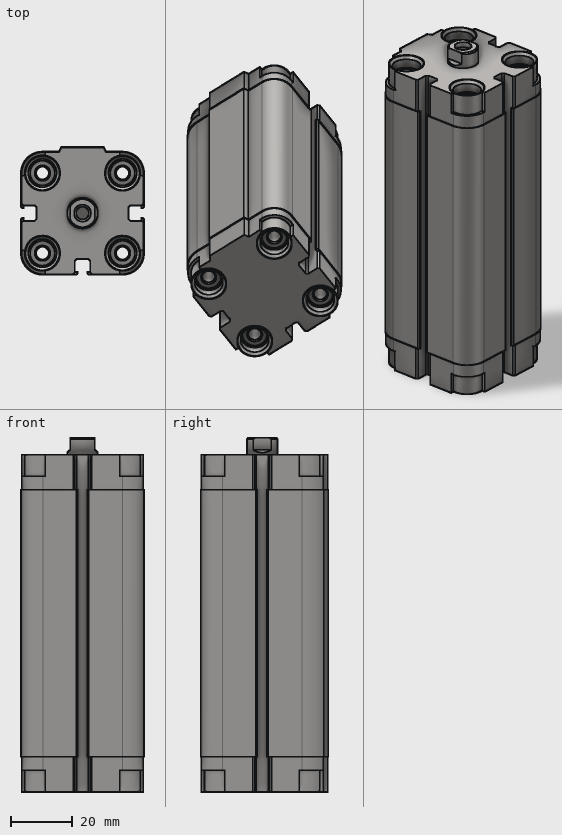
import cadquery as cq
overall_height = 115.0
body_width = 40.0
rod_stand_out = 5.5
housing_height = overall_height - rod_stand_out
half_width = body_width / 2

cap_height = 11.4
cap_inset = 0.2
cap_half_width = half_width - cap_inset
corner_radius = 7.1

rail_base_width = 15.3
rail_top_width = 13.7
rail_height = 1.5

slot_depth = 5.1
slot_angles = (0, 90, -90)
slot_width = 5.0
slot_corner_chamfer = 0.6
lip_gap = 3.1
lip_thickness = 0.9
lip_chamfer = 0.5
cap_slot_mouth_chamfer = 0.6

hole_pitch = 26.0
hole_diameter = 4.1
hole_chamfer_diameter = 5.1
boss_diameter = 11.5
boss_height = 7.0
notch_start = 12.1
rim_recess_depth = 0.1
rim_diameter = 11.0
counterbore_diameter = 9.2
counterbore_depth = 4.0
seat_diameter = 8.0
seat_depth = 0.3

rod_diameter = 10.0
rod_bottom = housing_height - cap_height
rod_top_chamfer = 0.5
rod_flat_width = 8.0
rod_flat_height = 3.9
rod_bore_diameter = 4.1
rod_bore_depth = 11.5
rod_recess_diameter = 5.5
rod_recess_depth = 1.8
rod_recess_cone_height = 0.3


def profile_prism(half, radius, z_bottom, height):
    """Square with rounded corners, plus the rail along the back."""
    base = cq.Workplane("XY").workplane(offset=z_bottom)
    square = base.rect(2 * half, 2 * half).extrude(height).edges("|Z").fillet(radius)
    rail_top = half + rail_height
    rail_outline = [
        (-rail_base_width / 2, 0),
        (-rail_base_width / 2, half),
        (-rail_top_width / 2, rail_top),
        (rail_top_width / 2, rail_top),
        (rail_base_width / 2, half),
        (rail_base_width / 2, 0),
    ]
    rail = base.polyline(rail_outline).close().extrude(height)
    return square.union(rail)


def cut_slots(solid, half_outline, z_bottom, height):
    """Cut the three side slots; half_outline is the +X half of the front slot, from mouth to floor."""
    other_half = [(-x, y) for x, y in reversed(half_outline)]
    slot = cq.Workplane("XY").workplane(offset=z_bottom).polyline(half_outline + other_half).close().extrude(height)
    for angle in slot_angles:
        solid = solid.cut(slot.rotate((0, 0, 0), (0, 0, 1), angle))
    return solid


def slot_floor_corner():
    """Bevelled inner corner of the front slot on its +X side."""
    floor_y = -half_width + slot_depth
    return [(slot_width / 2, floor_y - slot_corner_chamfer), (slot_width / 2 - slot_corner_chamfer, floor_y)]


def corner_points(distance):
    return [(sx * distance, sy * distance) for sx in (-1, 1) for sy in (-1, 1)]


def make_barrel():
    """Middle length of the housing, with lips that narrow the slot mouths."""
    height = housing_height - 2 * cap_height
    half_gap = lip_gap / 2
    lip_y = -half_width + lip_thickness
    slot_outline = [
        (half_gap + lip_chamfer, -half_width),
        (half_gap, -half_width + lip_chamfer),
        (half_gap, lip_y),
        (slot_width / 2, lip_y),
    ] + slot_floor_corner()
    blank = profile_prism(half_width, corner_radius, cap_height, height)
    return cut_slots(blank, slot_outline, cap_height, height)


def make_lower_cap():
    """Cap whose corners are notched back to the screw bosses."""
    half_mouth = slot_width / 2 + cap_slot_mouth_chamfer
    slot_outline = [
        (half_mouth, -cap_half_width),
        (slot_width / 2, -cap_half_width + cap_slot_mouth_chamfer),
    ] + slot_floor_corner()
    cap = profile_prism(cap_half_width, corner_radius - cap_inset, 0, cap_height)
    cap = cut_slots(cap, slot_outline, 0, cap_height)
    notch_size = half_width - notch_start
    notches = (
        cq.Workplane("XY")
        .pushPoints(corner_points(notch_start + notch_size / 2))
        .rect(notch_size, notch_size)
        .extrude(boss_height)
    )
    bosses = cq.Workplane("XY").pushPoints(corner_points(hole_pitch / 2)).circle(boss_diameter / 2).extrude(boss_height)
    return cap.cut(notches.cut(bosses))


def corner_hole_cutter():
    """Through hole on the Z axis with a stepped, chamfered counterbore at each end."""
    middle = housing_height / 2
    rim_depth = rim_recess_depth + (rim_diameter - counterbore_diameter) / 2
    seat_bottom = counterbore_depth + seat_depth
    hole_chamfer = (hole_chamfer_diameter - hole_diameter) / 2
    half_hole = (
        cq.Workplane("XZ")
        .polyline([
            (0, 0),
            (boss_diameter / 2, 0),
            (boss_diameter / 2, rim_recess_depth),
            (rim_diameter / 2, rim_recess_depth),
            (counterbore_diameter / 2, rim_depth),
            (counterbore_diameter / 2, counterbore_depth),
            (seat_diameter / 2, counterbore_depth),
            (seat_diameter / 2, seat_bottom),
            (hole_chamfer_diameter / 2, seat_bottom),
            (hole_diameter / 2, seat_bottom + hole_chamfer),
            (hole_diameter / 2, middle),
            (0, middle),
        ])
        .close()
        .revolve(360, (0, 0), (0, 1))
    )
    return half_hole.union(half_hole.mirror("XY", (0, 0, middle)))


def make_housing():
    """Barrel and both end caps in one piece, with the corner holes and the rod hole."""
    lower_cap = make_lower_cap()
    upper_cap = lower_cap.mirror("XY", (0, 0, housing_height / 2))
    housing = make_barrel().union(lower_cap).union(upper_cap)
    hole = corner_hole_cutter()
    for x, y in corner_points(hole_pitch / 2):
        housing = housing.cut(hole.translate((x, y, 0)))
    rod_hole = (
        cq.Workplane("XY")
        .workplane(offset=rod_bottom)
        .circle(rod_diameter / 2)
        .extrude(overall_height - rod_bottom)
    )
    return housing.cut(rod_hole)


def rod_flat_cutter():
    """Removes the +X side of the rod tip, ending in a 45 degree ramp at the bottom."""
    flat_x = rod_flat_width / 2
    ramp = rod_diameter - flat_x
    flat_bottom = overall_height - rod_flat_height
    return (
        cq.Workplane("XZ")
        .moveTo(flat_x, overall_height)
        .lineTo(flat_x, flat_bottom)
        .lineTo(flat_x + ramp, flat_bottom - ramp)
        .lineTo(flat_x + ramp, overall_height)
        .close()
        .extrude(rod_diameter / 2, both=True)
    )


def rod_bore_cutter():
    """Blind hole in the rod tip with a wider recess that ends in a short cone."""
    recess_bottom = overall_height - rod_recess_depth
    bore_bottom = overall_height - rod_bore_depth
    return (
        cq.Workplane("XZ")
        .polyline([
            (0, overall_height),
            (rod_recess_diameter / 2, overall_height),
            (rod_recess_diameter / 2, recess_bottom),
            (rod_bore_diameter / 2, recess_bottom - rod_recess_cone_height),
            (rod_bore_diameter / 2, bore_bottom),
            (0, bore_bottom),
        ])
        .close()
        .revolve(360, (0, 0), (0, 1))
    )


def make_piston_rod():
    rod = (
        cq.Workplane("XY")
        .workplane(offset=rod_bottom)
        .circle(rod_diameter / 2)
        .extrude(overall_height - rod_bottom)
        .faces(">Z")
        .chamfer(rod_top_chamfer)
    )
    flat = rod_flat_cutter()
    return rod.cut(rod_bore_cutter()).cut(flat).cut(flat.mirror("YZ"))


housing = make_housing()
piston_rod = make_piston_rod()
result = cq.Compound.makeCompound([housing.val(), piston_rod.val()])